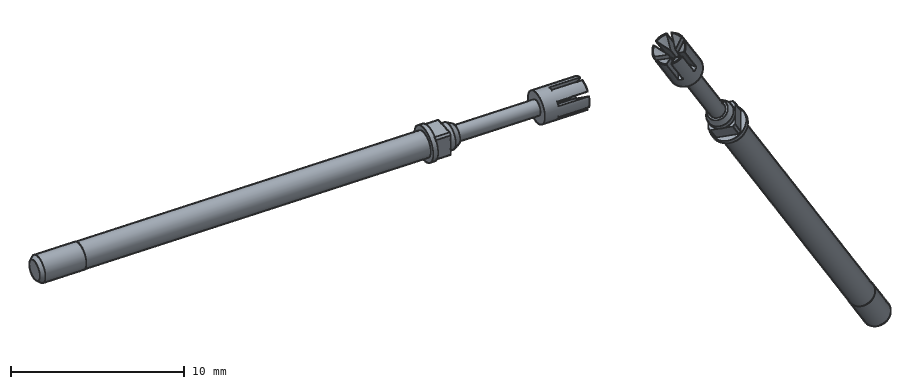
import cadquery as cq

length = 35.8
cap_length = 2.95
collar_start = 25.5
collar_width = 0.32
square_length = 1.0
cone_start = 27.15
cone_end = 27.53
head_length = 2.95

cap_diameter = 1.72
barrel_diameter = 1.7
collar_diameter = 2.3
square_width = 1.65
square_corner_diameter = 2.15
cone_tip_diameter = 1.3
plunger_diameter = 1.0
head_diameter = 2.08

tail_chamfer_length = 0.25
tail_chamfer_depth = 0.2

slot_count = 6
slot_width = 0.3
slot_length = 2.0
crown_cone_diameter = 1.95
crown_cone_depth = crown_cone_diameter / 2

collar_end = collar_start + collar_width
square_end = collar_end + square_length
head_start = length - head_length


def rod(start, end, diameter):
    """Cylinder on the Y axis between two stations."""
    return cq.Workplane("XZ", origin=(0, start, 0)).circle(diameter / 2).extrude(start - end)


def cone(start, end, start_diameter, end_diameter):
    """Cone, pointed or truncated, on the Y axis between two stations."""
    profile = (
        cq.Workplane("XY")
        .moveTo(0, start)
        .lineTo(start_diameter / 2, start)
        .lineTo(end_diameter / 2, end)
    )
    if end_diameter > 0:
        profile = profile.lineTo(0, end)
    return profile.close().revolve(360, (0, 0, 0), (0, 1, 0))


def tail_cap():
    """Slightly wider end cap with a chamfered tip."""
    cap = rod(0, cap_length, cap_diameter)
    return cap.faces("<Y").chamfer(tail_chamfer_length, tail_chamfer_depth)


def square_section():
    """Four flats in front of the collar, with rounded corners."""
    square = (
        cq.Workplane("XZ", origin=(0, collar_end, 0))
        .rect(square_width, square_width)
        .extrude(-square_length)
    )
    return square.intersect(rod(collar_end, square_end, square_corner_diameter))


def crown_slot(angle):
    """Radial slot from the axis outwards, open at the head end."""
    slot = cq.Workplane("XY", origin=(0, length - slot_length, 0)).box(
        slot_width, slot_length, head_diameter, centered=(True, False, False)
    )
    return slot.rotate((0, 0, 0), (0, 1, 0), angle)


def crown_head():
    """Cylindrical head with a conical recess and evenly spaced slots."""
    head = rod(head_start, length, head_diameter)
    head = head.cut(cone(length, length - crown_cone_depth, crown_cone_diameter, 0))
    for index in range(slot_count):
        head = head.cut(crown_slot(index * 360 / slot_count))
    return head


result = (
    tail_cap()
    .union(rod(cap_length, collar_start, barrel_diameter))
    .union(rod(collar_start, collar_end, collar_diameter))
    .union(square_section())
    .union(rod(square_end, cone_start, barrel_diameter))
    .union(cone(cone_start, cone_end, barrel_diameter, cone_tip_diameter))
    .union(rod(cone_end, head_start, plunger_diameter))
    .union(crown_head())
)